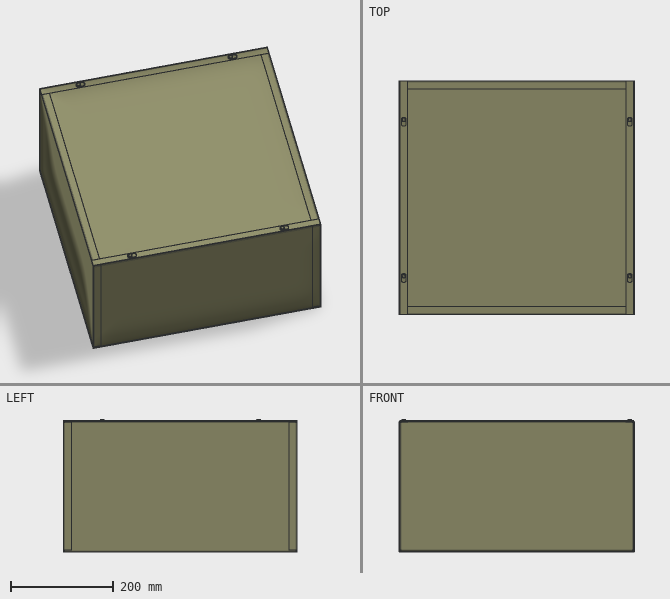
import cadquery as cq

BOX_WIDTH = 460.5
BOX_LENGTH = 457.0
TOTAL_HEIGHT = 259.5

SHEET = 1.55
WRAP_BEND = 2.5
CAP_BEND = 2.5
FLANGE = 16.0
RELIEF = 3.5

HEAD_DIAMETER = 7.5
HEAD_RISE = 2.5
HEAD_ROUND = 1.5
SHANK_DIAMETER = 3.75
SHANK_LENGTH = 11.5
SCREW_HOLE = 4.0
SLOT_WIDTH = 9.5
SLOT_LENGTH = 17.5
SLOT_SHIFT = 3.5
SCREW_INSET = 9.0
SCREW_SPACING = 305.5
SCREW_SHIFT = -0.5

COVER_TOP = TOTAL_HEIGHT - HEAD_RISE
WRAP_TOP = COVER_TOP - SHEET
INNER_WIDTH = BOX_WIDTH - 2 * SHEET
COVER_WIDTH = INNER_WIDTH
LIP_UNDERSIDE = WRAP_TOP - SHEET
INNER_HEIGHT = LIP_UNDERSIDE - SHEET
CAP_HEIGHT = WRAP_TOP - SHEET
INNER_BEND = WRAP_BEND - SHEET
SCREW_X = BOX_WIDTH / 2 - SCREW_INSET
SCREW_ROWS = (SCREW_SHIFT - SCREW_SPACING / 2, SCREW_SHIFT + SCREW_SPACING / 2)
SCREW_POINTS = [(x, y) for x in (-SCREW_X, SCREW_X) for y in SCREW_ROWS]


def block(width, length, bottom, height):
    """Box centred on the Z axis that stands on the level `bottom`."""
    return cq.Workplane("XY").workplane(offset=bottom).box(
        width, length, height, centered=(True, True, False)
    )


def wrapper_space(length):
    """Space inside the wrapper, with the opening between its lips."""
    inside = block(INNER_WIDTH, length, SHEET, INNER_HEIGHT).edges("|Y").fillet(INNER_BEND)
    opening = block(BOX_WIDTH - 2 * FLANGE, length, SHEET, CAP_HEIGHT)
    return inside.union(opening)


def make_wrapper():
    """Floor, two sides and two inward top lips, bent from one sheet and open at both ends."""
    outside = block(BOX_WIDTH, BOX_LENGTH, 0, WRAP_TOP).edges("|Y").fillet(WRAP_BEND)
    holes = (
        cq.Workplane("XY").workplane(offset=LIP_UNDERSIDE)
        .pushPoints(SCREW_POINTS).circle(SCREW_HOLE / 2).extrude(SHEET)
    )
    return outside.cut(wrapper_space(BOX_LENGTH)).cut(holes)


def make_end_cap(side):
    """Flanged panel that closes one end of the wrapper; side is -1 for -Y and +1 for +Y."""
    outer_face = "<Y" if side < 0 else ">Y"
    tray = block(INNER_WIDTH, FLANGE, SHEET, CAP_HEIGHT)
    tray = tray.faces(outer_face).edges().fillet(CAP_BEND)
    cavity = block(INNER_WIDTH - 2 * SHEET, FLANGE, 2 * SHEET, CAP_HEIGHT - 2 * SHEET)
    cavity = cavity.translate((0, -side * SHEET, 0))
    cavity = cavity.faces(outer_face).edges().fillet(CAP_BEND - SHEET)
    cap = tray.cut(cavity).intersect(wrapper_space(FLANGE))
    for x in (-BOX_WIDTH / 2, BOX_WIDTH / 2):
        corner_relief = block(2 * RELIEF, FLANGE, 0, RELIEF).translate((x, -side * CAP_BEND, 0))
        cap = cap.cut(corner_relief)
    return cap.translate((0, side * (BOX_LENGTH - FLANGE) / 2, 0))


def make_cover():
    """Flat lid with one slot at each screw."""
    plate = block(COVER_WIDTH, BOX_LENGTH, WRAP_TOP, SHEET)
    slots = (
        cq.Workplane("XY").workplane(offset=WRAP_TOP)
        .pushPoints([(x, y - SLOT_SHIFT) for x, y in SCREW_POINTS])
        .slot2D(SLOT_LENGTH, SLOT_WIDTH, angle=90).extrude(SHEET)
    )
    return plate.cut(slots)


def make_screw(point):
    """Round-headed screw that rests on the wrapper's lip."""
    head = (
        cq.Workplane("XY").workplane(offset=WRAP_TOP).center(*point)
        .circle(HEAD_DIAMETER / 2).extrude(TOTAL_HEIGHT - WRAP_TOP)
        .faces(">Z").edges().fillet(HEAD_ROUND)
    )
    shank = (
        cq.Workplane("XY").workplane(offset=WRAP_TOP).center(*point)
        .circle(SHANK_DIAMETER / 2).extrude(-SHANK_LENGTH)
    )
    return head.union(shank)


wrapper = make_wrapper()
end_caps = [make_end_cap(side) for side in (-1, 1)]
cover = make_cover()
screws = [make_screw(point) for point in SCREW_POINTS]

result = cq.Compound.makeCompound(
    [wrapper.val(), cover.val(), *[cap.val() for cap in end_caps], *[screw.val() for screw in screws]]
)